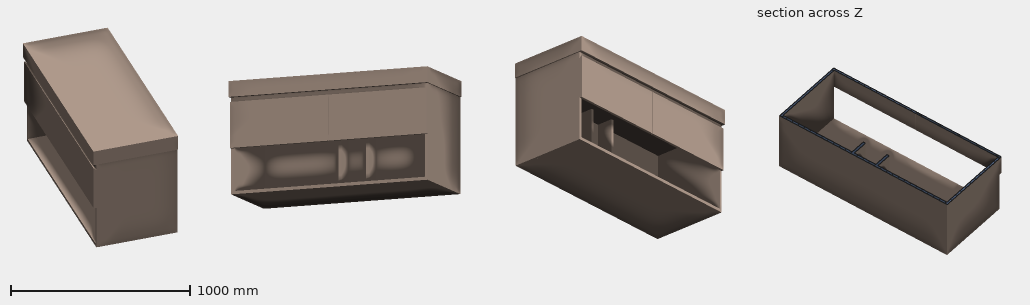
import cadquery as cq

TOP_WIDTH = 1200.0
TOP_DEPTH = 500.0
TOTAL_HEIGHT = 640.0

TOP_HEIGHT = 90.0
COVER_THICKNESS = 4.0

SIDE_OVERHANG = 7.0
CABINET_DEPTH = 480.0
SIDE_THICKNESS = 15.0
BOARD_THICKNESS = 18.0
RIB_SPACING = 167.0
RIB_DEPTH = 120.0

FRONT_HEIGHT = 262.0
FRONT_THICKNESS = 15.0
FRONT_BEVEL = 11.0
FRONT_GAP = 4.0
NICHE_TOP = 260.0

cabinet_width = TOP_WIDTH - 2 * SIDE_OVERHANG
cabinet_height = TOTAL_HEIGHT - TOP_HEIGHT
inner_width = cabinet_width - 2 * SIDE_THICKNESS
back_y = TOP_DEPTH / 2
cabinet_front_y = back_y - CABINET_DEPTH
slab_height = TOP_HEIGHT - COVER_THICKNESS
front_width = (cabinet_width - FRONT_GAP) / 2


def board(width, depth, height, x_centre, y_front, z_bottom):
    """Rectangular board centred on x_centre, starting at y_front and z_bottom."""
    return cq.Workplane("XY").box(width, depth, height, centered=(True, False, False)).translate(
        (x_centre, y_front, z_bottom)
    )


def make_worktop():
    return board(TOP_WIDTH, TOP_DEPTH, slab_height, 0, -TOP_DEPTH / 2, cabinet_height)


def make_cover():
    return board(TOP_WIDTH, TOP_DEPTH, COVER_THICKNESS, 0, -TOP_DEPTH / 2, cabinet_height + slab_height)


def make_side_panel(direction):
    """Side panel at the -X (direction -1) or +X (direction 1) end."""
    x_centre = direction * (cabinet_width - SIDE_THICKNESS) / 2
    return board(SIDE_THICKNESS, CABINET_DEPTH, cabinet_height, x_centre, cabinet_front_y, 0)


def make_drawer_front(direction):
    """Drawer front whose top edge slopes down to the cabinet as a finger grip."""
    front_y = cabinet_front_y - FRONT_THICKNESS
    top_z = NICHE_TOP + FRONT_HEIGHT
    profile = [
        (front_y, NICHE_TOP),
        (cabinet_front_y, NICHE_TOP),
        (cabinet_front_y, top_z - FRONT_BEVEL),
        (cabinet_front_y - FRONT_BEVEL, top_z),
        (front_y, top_z),
    ]
    x_centre = direction * (front_width + FRONT_GAP) / 2
    return (
        cq.Workplane("YZ")
        .polyline(profile)
        .close()
        .extrude(front_width / 2, both=True)
        .translate((x_centre, 0, 0))
    )


def make_inner_frame():
    """Floor, back and top boards with two upright ribs against the back."""
    floor = board(inner_width, CABINET_DEPTH, BOARD_THICKNESS, 0, cabinet_front_y, 0)
    back = board(inner_width, BOARD_THICKNESS, cabinet_height, 0, back_y - BOARD_THICKNESS, 0)
    reveal_bottom = NICHE_TOP + FRONT_HEIGHT
    top_bottom = reveal_bottom - FRONT_BEVEL
    top = board(inner_width, CABINET_DEPTH, cabinet_height - top_bottom, 0, cabinet_front_y, top_bottom)
    frame = floor.union(back).union(top)
    for direction in (-1, 1):
        x_centre = direction * RIB_SPACING / 2
        rib = board(BOARD_THICKNESS, RIB_DEPTH, cabinet_height, x_centre, back_y - RIB_DEPTH, 0)
        frame = frame.union(rib)
    return frame


worktop = make_worktop()
cover = make_cover()
inner_frame = make_inner_frame()
side_panels = [make_side_panel(direction) for direction in (-1, 1)]
drawer_fronts = [make_drawer_front(direction) for direction in (-1, 1)]

result = cq.Compound.makeCompound(
    [
        worktop.val(),
        cover.val(),
        inner_frame.val(),
        *[panel.val() for panel in side_panels],
        *[front.val() for front in drawer_fronts],
    ]
)